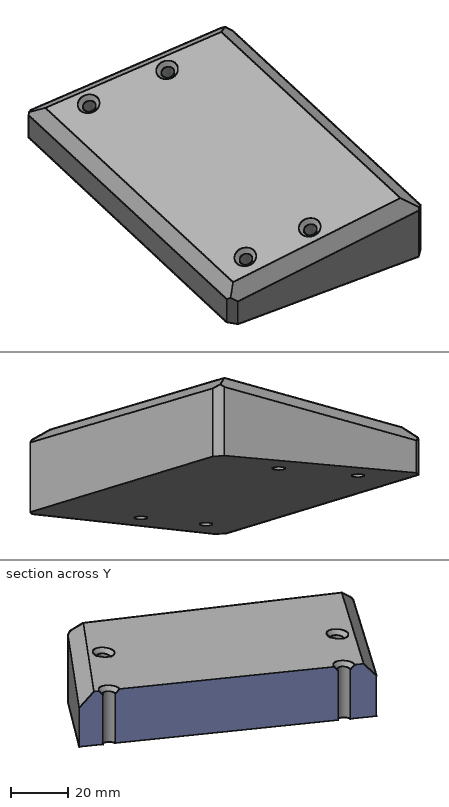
import cadquery as cq
import math

FRONT_LEFT = (-0.8, 0)
FRONT_RIGHT = (112.2, 3.1)
BACK_RIGHT = (128.7, 76.3)
BACK_LEFT = (21.3, 73.3)
CORNERS = [FRONT_LEFT, FRONT_RIGHT, BACK_RIGHT, BACK_LEFT]

TOP_HEIGHT_AT_FRONT = 16.5
TOP_SLOPE = 10.8
BLANK_HEIGHT = 38.5

CORNER_CUT = 2.6
BEVEL_OFFSET = 5.0

HOLE_DIAMETER = 4.5
SINK_DIAMETER = 7.7
SINK_DEPTH = (SINK_DIAMETER - HOLE_DIAMETER) / 2
HOLE_CENTERS = [(15.4, 16.4), (103.1, 16.8), (109.5, 40.4), (23.8, 44.6)]

CUTTER_SIZE = 512.9
SLOPE_ANGLE = math.radians(TOP_SLOPE)
TOP_NORMAL = cq.Vector(0, -math.sin(SLOPE_ANGLE), math.cos(SLOPE_ANGLE))


def top_point(x, y):
    """Point of the top plane above (x, y)."""
    return cq.Vector(x, y, TOP_HEIGHT_AT_FRONT + y * math.tan(SLOPE_ANGLE))


def trim(body, point, normal):
    """Remove everything outside the plane through point with the given outward normal."""
    block = cq.Workplane(cq.Plane(origin=point, normal=normal)).rect(CUTTER_SIZE, CUTTER_SIZE)
    return body.cut(block.extrude(CUTTER_SIZE))


def bevel_top_edge(body, start, end):
    """Bevel the edge between the top and the side that runs from start to end."""
    side = cq.Vector(end[0] - start[0], end[1] - start[1], 0)
    side_normal = cq.Vector(side.y, -side.x, 0).normalized()
    angle_between_normals = side_normal.getAngle(TOP_NORMAL)
    setback = BEVEL_OFFSET * math.tan(angle_between_normals / 2)
    edge_direction = side_normal.cross(TOP_NORMAL).normalized()
    down_the_side = side_normal.cross(edge_direction)
    bevel_line = top_point(*start) + down_the_side * setback
    return trim(body, bevel_line, side_normal + TOP_NORMAL)


def cut_upright_corner(body, previous, corner, following):
    """Cut an upright corner back by the same length along both of its sides."""
    tip = cq.Vector(*corner)
    to_previous = (cq.Vector(*previous) - tip).normalized()
    to_following = (cq.Vector(*following) - tip).normalized()
    return trim(body, tip + to_previous * CORNER_CUT, -(to_previous + to_following))


def drill_countersunk_hole(body, x, y):
    """Upright through hole with a countersink square to the top."""
    hole = cq.Workplane().center(x, y).circle(HOLE_DIAMETER / 2).extrude(BLANK_HEIGHT)
    slope_shift = SINK_DEPTH * math.sin(SLOPE_ANGLE)
    sink_center = top_point(x, y - slope_shift)
    sink = cq.Solid.makeCone(
        SINK_DIAMETER / 2, HOLE_DIAMETER / 2, SINK_DEPTH, pnt=sink_center, dir=-TOP_NORMAL
    )
    return body.cut(hole).cut(cq.Workplane(sink))


body = cq.Workplane().polyline(CORNERS).close().extrude(BLANK_HEIGHT)
body = trim(body, top_point(0, 0), TOP_NORMAL)

for index, corner in enumerate(CORNERS):
    body = bevel_top_edge(body, CORNERS[index - 1], corner)

for index, corner in enumerate(CORNERS):
    next_corner = CORNERS[(index + 1) % len(CORNERS)]
    body = cut_upright_corner(body, CORNERS[index - 1], corner, next_corner)

for x, y in HOLE_CENTERS:
    body = drill_countersunk_hole(body, x, y)

result = body